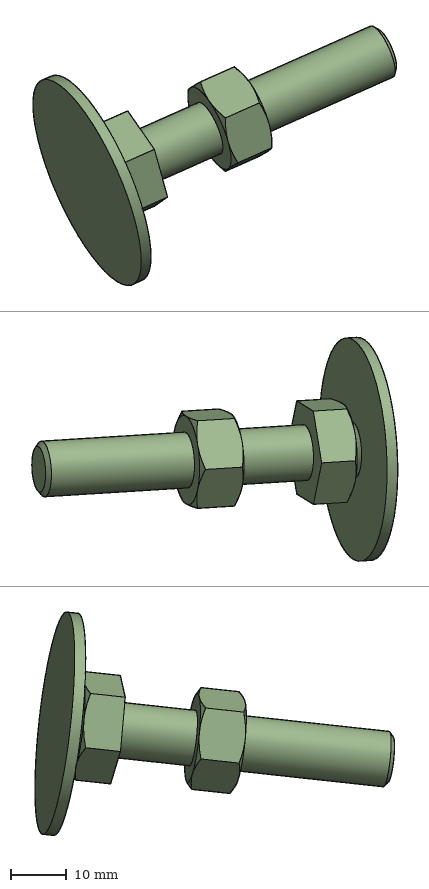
import cadquery as cq
import math

total_length = 61.0
plate_diameter = 40.0
plate_thickness = 2.0
neck_height = 1.95

shaft_diameter = 10.0
tip_chamfer_radial = 0.9
tip_chamfer_axial = 0.8

head_across_flats = 17.0
head_height = 7.1

nut_across_flats = 16.0
nut_height = 8.35
nut_start = 25.0

corner_chamfer_angle = 30.0

shaft_radius = shaft_diameter / 2
neck_top_radius = shaft_radius - neck_height
head_start = plate_thickness + neck_height


def revolve_about_y(profile_points):
    """Revolve a closed (radius, y) profile about the Y axis."""
    return cq.Workplane("XY").polyline(profile_points).close().revolve(360, (0, 0), (0, 1))


def hexagon(across_flats, start, height, chamfer_far_end):
    """Hexagonal prism with corners on the X axis and conically chamfered corners.

    The corners are always chamfered at the start, and at the far end on request.
    Each cone meets the end face at the circle inscribed in the hexagon.
    """
    flat_radius = across_flats / 2
    corner_radius = flat_radius / math.cos(math.pi / 6)
    corner_drop = (corner_radius - flat_radius) * math.tan(math.radians(corner_chamfer_angle))
    end = start + height

    prism = (
        cq.Workplane("XZ", origin=(0, start, 0))
        .polygon(6, 2 * corner_radius)
        .extrude(-height)
    )
    envelope = [(0, start), (flat_radius, start), (corner_radius, start + corner_drop)]
    if chamfer_far_end:
        envelope += [(corner_radius, end - corner_drop), (flat_radius, end)]
    else:
        envelope += [(corner_radius, end)]
    envelope += [(0, end)]
    return prism.intersect(revolve_about_y(envelope))


def make_foot():
    """Round foot plate with a tapered neck."""
    plate_radius = plate_diameter / 2
    return revolve_about_y([
        (0, 0),
        (plate_radius, 0),
        (plate_radius, plate_thickness),
        (shaft_radius, plate_thickness),
        (neck_top_radius, head_start),
        (0, head_start),
    ])


def make_spindle():
    """Shaft with a chamfered tip and an integral hexagonal head on the neck."""
    shaft = revolve_about_y([
        (0, head_start),
        (shaft_radius, head_start),
        (shaft_radius, total_length - tip_chamfer_axial),
        (shaft_radius - tip_chamfer_radial, total_length),
        (0, total_length),
    ])
    head = hexagon(head_across_flats, head_start, head_height, chamfer_far_end=False)
    return shaft.union(head)


def make_nut():
    """Lock nut whose plain bore fits the shaft."""
    bore = cq.Workplane("XZ", origin=(0, nut_start, 0)).circle(shaft_radius).extrude(-nut_height)
    return hexagon(nut_across_flats, nut_start, nut_height, chamfer_far_end=True).cut(bore)


foot = make_foot()
spindle = make_spindle()
nut = make_nut()

result = cq.Compound.makeCompound([foot.val(), spindle.val(), nut.val()])